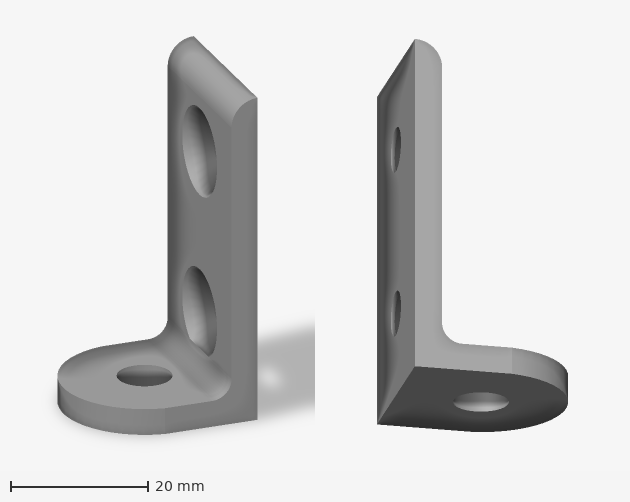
import cadquery as cq

height = 50.8
width = 25.15
thickness = 4.05
inner_fillet = 3.0

end_radius = 12.7
bushing_y = -end_radius
bushing_outer_diameter = 10.25
bushing_bore_diameter = 8.15

screw_heights = (height / 4, 3 * height / 4)
screw_diameter = 6.7
countersink_diameter = 13.65
countersink_angle = 90.0


def make_blank():
    """L-shaped profile extruded across the width, with a rounded top edge."""
    profile = (
        cq.Workplane("YZ")
        .lineTo(0, height)
        .radiusArc((-thickness, height - thickness), -thickness)
        .lineTo(-thickness, thickness + inner_fillet)
        .radiusArc((-thickness - inner_fillet, thickness), inner_fillet)
        .lineTo(bushing_y - end_radius, thickness)
        .lineTo(bushing_y - end_radius, 0)
        .close()
    )
    return profile.extrude(width / 2, both=True)


def round_foot_end(body):
    """Trim the foot to an arc centred on the bushing."""
    straight_part = cq.Workplane("XY").box(width, -bushing_y, height, centered=(True, False, False))
    straight_part = straight_part.translate((0, bushing_y, 0))
    round_part = cq.Workplane("XY").center(0, bushing_y).circle(end_radius).extrude(height)
    return body.intersect(straight_part.union(round_part))


def cut_screw_holes(body):
    """Countersunk holes entering from the front face of the upright leg."""
    front_face = cq.Workplane("XZ", origin=(0, -thickness, 0))
    return (
        body.copyWorkplane(front_face)
        .pushPoints([(0, z) for z in screw_heights])
        .cskHole(screw_diameter, countersink_diameter, countersink_angle)
    )


def make_bracket():
    body = cut_screw_holes(round_foot_end(make_blank()))
    bushing_seat = (
        cq.Workplane("XY").center(0, bushing_y).circle(bushing_outer_diameter / 2).extrude(thickness)
    )
    return body.cut(bushing_seat)


def make_bushing():
    """Plain sleeve flush with both faces of the foot."""
    return (
        cq.Workplane("XY")
        .center(0, bushing_y)
        .circle(bushing_outer_diameter / 2)
        .circle(bushing_bore_diameter / 2)
        .extrude(thickness)
    )


bracket = make_bracket()
bushing = make_bushing()
result = cq.Compound.makeCompound([bracket.val(), bushing.val()])